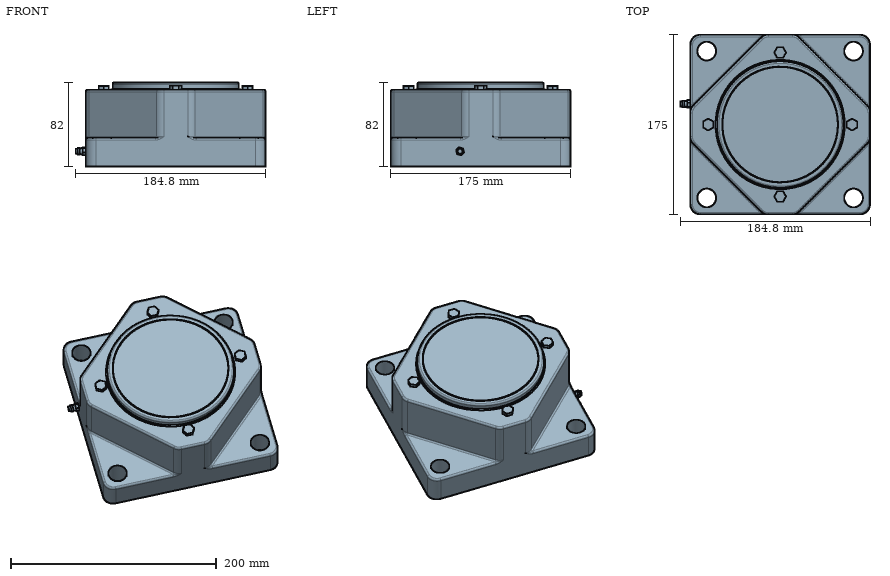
import cadquery as cq
import math

plate_side = 175.0
plate_height = 28.0
plate_corner_radius = 10.0
edge_round = 2.0

housing_height = 75.0
housing_diagonal_width = 146.0
housing_corner_radius = 10.0
housing_root_radius = 1.5

oversize_slab_side = 1.5 * plate_side
selection_margin = 0.1

mount_hole_diameter = 18.0
mount_hole_circle_diameter = 202.0

cover_top = 82.0
cover_diameter = 123.0
cover_edge_radius = 1.7
cover_foot_diameter = 126.0
cover_foot_height = 0.7
cover_groove_outer_diameter = 113.0
cover_groove_inner_diameter = 112.0
cover_groove_depth = 0.5

bolt_count = 4
bolt_circle_diameter = 140.0
bolt_across_flats = 10.0
bolt_head_height = 3.5

nipple_y = 20.0
nipple_z = 15.0
nipple_length = 9.8
nipple_hex_across_flats = 7.0
nipple_hex_length = 3.0
nipple_hex_turn = 15.0
nipple_tip_diameter = 4.92
nipple_tip_back_diameter = 5.46
nipple_tip_length = 2.1
nipple_collar_diameter = 6.5
nipple_collar_length = 2.0
nipple_neck_diameter = 5.46
nipple_foot_diameter = 6.65

hexagon_half_angle = 30.0


def hexagon_diameter(across_flats):
    """Circumscribed circle diameter of a hexagon."""
    return across_flats / math.cos(math.radians(hexagon_half_angle))


def make_envelope():
    """Plate outline with rounded corners, carried up to the top of the housing."""
    block = cq.Workplane("XY").rect(plate_side, plate_side).extrude(housing_height)
    return block.edges("|Z").fillet(plate_corner_radius)


def make_housing():
    square = cq.Workplane("XY").rect(plate_side, plate_side).extrude(housing_height)
    diamond = (
        cq.Workplane("XY")
        .transformed(rotate=(0, 0, 45))
        .rect(housing_diagonal_width, housing_diagonal_width)
        .extrude(housing_height)
    )
    housing = square.intersect(diamond).edges("|Z").fillet(housing_corner_radius)
    return housing.faces(">Z").edges().fillet(edge_round)


def make_body():
    """Housing and plate with a root fillet that fades out where the housing meets the plate sides.

    The root fillet runs all around the housing on an oversized slab, which is then trimmed to
    the plate outline before the plate's upper edges are rounded.
    """
    slab = cq.Workplane("XY").rect(oversize_slab_side, oversize_slab_side).extrude(plate_height)
    reach = plate_side / 2 + selection_margin
    plate_top_edges = cq.selectors.BoxSelector(
        (-reach, -reach, plate_height - selection_margin),
        (reach, reach, plate_height + selection_margin),
    )
    body = slab.union(make_housing()).edges(plate_top_edges).fillet(housing_root_radius)
    body = body.intersect(make_envelope())
    return body.edges(plate_top_edges).edges("|X or |Y").fillet(edge_round)


def cut_mount_holes(body):
    pitch = mount_hole_circle_diameter / math.sqrt(2)
    holes = (
        cq.Workplane("XY")
        .rect(pitch, pitch, forConstruction=True)
        .vertices()
        .circle(mount_hole_diameter / 2)
        .extrude(plate_height)
    )
    return body.cut(holes)


def make_cover():
    cover = (
        cq.Workplane("XY")
        .workplane(offset=housing_height)
        .circle(cover_diameter / 2)
        .extrude(cover_top - housing_height)
        .faces(">Z")
        .edges()
        .fillet(cover_edge_radius)
    )
    foot = (
        cq.Workplane("XY")
        .workplane(offset=housing_height)
        .circle(cover_foot_diameter / 2)
        .workplane(offset=cover_foot_height)
        .circle(cover_diameter / 2)
        .loft()
    )
    groove = (
        cq.Workplane("XY")
        .workplane(offset=cover_top - cover_groove_depth)
        .circle(cover_groove_outer_diameter / 2)
        .circle(cover_groove_inner_diameter / 2)
        .extrude(cover_groove_depth)
    )
    return cover.union(foot).cut(groove)


def make_bolt_head(location):
    """Bolt head at a location, with one flat facing the middle of the cover."""
    head = (
        cq.Workplane("XY")
        .transformed(rotate=(0, 0, hexagon_half_angle))
        .polygon(6, hexagon_diameter(bolt_across_flats))
        .extrude(bolt_head_height)
    )
    return head.val().moved(location)


def make_bolt_heads():
    return (
        cq.Workplane("XY")
        .workplane(offset=housing_height)
        .polarArray(bolt_circle_diameter / 2, 0, 360, bolt_count)
        .eachpoint(make_bolt_head, combine=False)
    )


def make_nipple():
    """Grease nipple built along +Z from the housing side, then turned to point along -X."""
    tip_start = nipple_length - nipple_tip_length
    collar_start = tip_start - nipple_collar_length
    hexagon = (
        cq.Workplane("XY")
        .transformed(rotate=(0, 0, nipple_hex_turn))
        .polygon(6, hexagon_diameter(nipple_hex_across_flats))
        .extrude(nipple_hex_length)
    )
    stem = (
        cq.Workplane("XZ")
        .lineTo(nipple_foot_diameter / 2, 0)
        .lineTo(nipple_foot_diameter / 2, nipple_hex_length)
        .lineTo(nipple_neck_diameter / 2, collar_start)
        .lineTo(nipple_collar_diameter / 2, collar_start)
        .lineTo(nipple_collar_diameter / 2, tip_start)
        .lineTo(nipple_tip_back_diameter / 2, tip_start)
        .lineTo(nipple_tip_diameter / 2, nipple_length)
        .lineTo(0, nipple_length)
        .close()
        .revolve(360, (0, 0, 0), (0, 1, 0))
    )
    nipple = hexagon.union(stem).rotate((0, 0, 0), (0, 1, 0), -90)
    return nipple.translate((-plate_side / 2, nipple_y, nipple_z))


body = make_body()
body = cut_mount_holes(body)
result = body.union(make_cover()).union(make_bolt_heads()).union(make_nipple())